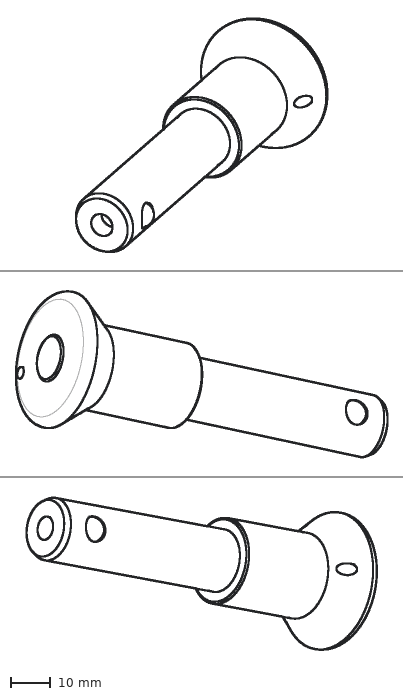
import cadquery as cq
import math

total_length = 97.6

head_diameter = 35.0
button_diameter = 12.0
button_rise = 0.5
button_edge_chamfer = 0.5
button_root = 1.0
rim_round_radius = 2.4
rim_band_width = 0.2
head_depth = 12.4
collar_diameter = 22.0
collar_end_depth = 39.4
collar_chamfer = 0.5

shank_diameter = 16.0
tip_chamfer_radial = 0.8
tip_chamfer_length = 1.6
tip_hole_diameter = 6.0
tip_hole_depth = 6.0

ball_diameter = 6.5
ball_distance_from_tip = 9.9
ball_span = 19.0

lanyard_hole_diameter = 3.0
lanyard_hole_offset = 13.7

head_radius = head_diameter / 2
collar_radius = collar_diameter / 2
shank_radius = shank_diameter / 2
ball_center_x = (ball_span - ball_diameter) / 2
head_face_y = total_length - button_rise
rim_top_y = head_face_y - rim_round_radius
rim_bottom_y = rim_top_y - rim_band_width
cone_end_y = total_length - head_depth
shoulder_y = total_length - collar_end_depth


def cylinder(diameter, start_y, length, x=0.0):
    """Cylinder parallel to Y, growing towards +Y from start_y."""
    return cq.Workplane("XZ", origin=(x, start_y, 0)).circle(diameter / 2).extrude(-length)


def make_body():
    """Shank, collar and flared head as one turned profile."""
    face_radius = head_radius - rim_round_radius
    arc_step = rim_round_radius * math.sqrt(0.5)
    return (
        cq.Workplane("XY")
        .moveTo(0, 0)
        .lineTo(shank_radius - tip_chamfer_radial, 0)
        .lineTo(shank_radius, tip_chamfer_length)
        .lineTo(shank_radius, shoulder_y)
        .lineTo(collar_radius - collar_chamfer, shoulder_y)
        .lineTo(collar_radius, shoulder_y + collar_chamfer)
        .lineTo(collar_radius, cone_end_y)
        .lineTo(head_radius, rim_bottom_y)
        .lineTo(head_radius, rim_top_y)
        .threePointArc((face_radius + arc_step, rim_top_y + arc_step), (face_radius, head_face_y))
        .lineTo(0, head_face_y)
        .close()
        .revolve(360, (0, 0, 0), (0, 1, 0))
    )


def make_button():
    """Low push button with a chamfered top edge."""
    blank = cylinder(button_diameter, head_face_y - button_root, button_root + button_rise)
    return blank.faces(">Y").edges().chamfer(button_edge_chamfer)


def ball_seat(side):
    """Radial bore from the ball's centre plane out through the shank surface."""
    seat = cq.Workplane("YZ", origin=(side * ball_center_x, ball_distance_from_tip, 0))
    return seat.circle(ball_diameter / 2).extrude(side * shank_radius)


def locking_ball(side):
    """Ball on the +X (side = 1) or -X (side = -1) flank of the shank."""
    ball = cq.Workplane("XY").sphere(ball_diameter / 2)
    return ball.translate((side * ball_center_x, ball_distance_from_tip, 0))


button = make_button()
tip_hole = cylinder(tip_hole_diameter, 0, tip_hole_depth)
lanyard_hole = cylinder(lanyard_hole_diameter, shoulder_y, collar_end_depth, lanyard_hole_offset)

result = make_body().union(button)
for side in (-1, 1):
    result = result.cut(ball_seat(side)).union(locking_ball(side))
result = result.cut(tip_hole).cut(lanyard_hole)